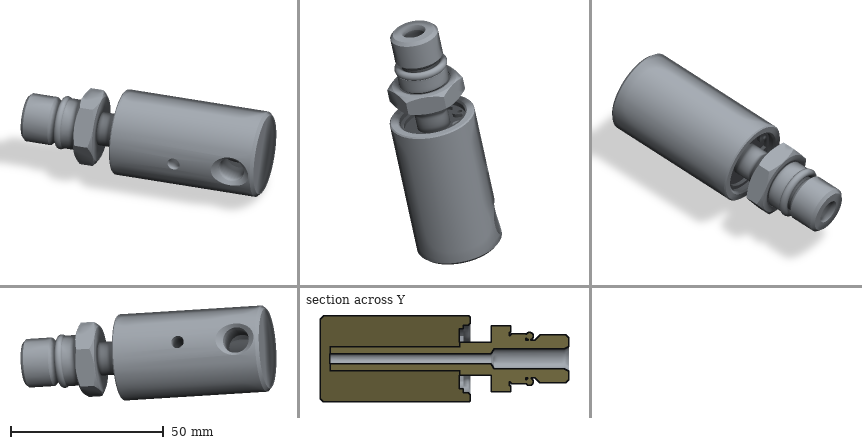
import cadquery as cq
import math

THREAD_DIA = 16.0
THREAD_TIP_CHAMFER = 1.05
THREAD_END_X = 9.45
RELIEF_DIA = 12.55
COLLAR_DIA = 16.6
COLLAR_START_X = 14.0
UNDERCUT_START_X = 18.65
UNDERCUT_END_X = 19.4
UNDERCUT_DIA = 17.4

SEAL_OUTER_DIA = 17.6
SEAL_SECTION_DIA = 2.6
SEAL_X = 12.9

HEX_SIDES = 6
HEX_ACROSS_FLATS = 21.8
HEX_START_X = 19.0
HEX_END_X = 25.5
HEX_FACE_DIA = 21.5
HEX_CHAMFER_ANGLE = 30

SHAFT_DIA = 11.0
STEM_DIA = 8.0
STEM_END_X = 78.2

BORE_DIA = 6.4
BORE_MOUTH_DIA = 8.0
BORE_MOUTH_DEPTH = 1.4
BORE_DEPTH = 24.45
PASSAGE_DIA = 3.2
DRILL_ANGLE = 118

HOUSING_DIA = 28.35
HOUSING_START_X = 32.3
HOUSING_END_X = 81.5
HOUSING_FRONT_CHAMFER = 0.4
HOUSING_REAR_CHAMFER = 1.05

RECESS_DIA = 22.1
RECESS_MOUTH_DIA = 23.3
RECESS_DEPTH = 3.5
STEP_DIA = 19.55
STEP_DEPTH = 2.3

LUG_HOLE_DIA = 1.55
LUG_HOLE_Y = -8.8
LUG_HOLE_Z = 3.8
LUG_INNER_Y = -6.35
LUG_CORNER_RADIUS = 1.6
LUG_NEAR_Z = 2.2
LUG_FAR_Z = 7.6

VENT_DIA = 4.15
VENT_X = 54.4

PORT_X = 73.6
PORT_TOP_DIA = 8.6
PORT_BOTTOM_DIA = 8.15
PORT_COUNTERSINK_DIA = 12.8
PORT_BOTTOM_Y = 3.75
PORT_POINT_ANGLE = 110

HOUSING_RADIUS = HOUSING_DIA / 2
STEP_X = HOUSING_START_X + STEP_DEPTH
RECESS_FLOOR_X = HOUSING_START_X + RECESS_DEPTH
STEP_THICKNESS = RECESS_DEPTH - STEP_DEPTH
HALF_DRILL_TAN = math.tan(math.radians(DRILL_ANGLE / 2))


def revolve_about_x(points):
    """Solid of revolution about the X axis from (x, radius) points."""
    return cq.Workplane("XY").polyline(points).close().revolve(360, (0, 0, 0), (1, 0, 0))


def revolve_about_y(points, x):
    """Solid of revolution about a line parallel to Y at x, from (radius, y) points."""
    profile = cq.Workplane("XY", origin=(x, 0, 0)).polyline(points).close()
    return profile.revolve(360, (0, 0, 0), (0, 1, 0))


def hexagon():
    """Wrench hexagon with corners along Y and both ends chamfered."""
    length = HEX_END_X - HEX_START_X
    corner_dia = HEX_ACROSS_FLATS / math.cos(math.pi / HEX_SIDES)
    prism = cq.Workplane("YZ", origin=(HEX_START_X, 0, 0)).polygon(HEX_SIDES, corner_dia).extrude(length)
    corner_radius = corner_dia / 2
    face_radius = HEX_FACE_DIA / 2
    chamfer_length = (corner_radius - face_radius) * math.tan(math.radians(HEX_CHAMFER_ANGLE))
    chamfer_envelope = revolve_about_x([
        (HEX_START_X, 0),
        (HEX_START_X, face_radius),
        (HEX_START_X + chamfer_length, corner_radius),
        (HEX_END_X - chamfer_length, corner_radius),
        (HEX_END_X, face_radius),
        (HEX_END_X, 0),
    ])
    return prism.intersect(chamfer_envelope)


def seal_ring():
    """Round-section ring seated against the collar."""
    section_radius = SEAL_SECTION_DIA / 2
    ring_radius = SEAL_OUTER_DIA / 2 - section_radius
    section = cq.Workplane("XY").center(SEAL_X, ring_radius).circle(section_radius)
    axis_offset = -ring_radius
    return section.revolve(360, (0, axis_offset, 0), (1, axis_offset, 0))


def spindle_bore():
    """Inlet bore with a flared mouth, a drill-point bottom and the fine passage."""
    bore_radius = BORE_DIA / 2
    passage_radius = PASSAGE_DIA / 2
    return revolve_about_x([
        (0, 0),
        (0, BORE_MOUTH_DIA / 2),
        (BORE_MOUTH_DEPTH, bore_radius),
        (BORE_DEPTH, bore_radius),
        (BORE_DEPTH + (bore_radius - passage_radius) / HALF_DRILL_TAN, passage_radius),
        (STEM_END_X, passage_radius),
        (STEM_END_X, 0),
    ])


def undercut():
    """Groove where the collar runs into the hexagon face."""
    collar_radius = COLLAR_DIA / 2
    groove_radius = UNDERCUT_DIA / 2
    root_radius = collar_radius - (UNDERCUT_END_X - UNDERCUT_START_X)
    return revolve_about_x([
        (UNDERCUT_START_X, collar_radius),
        (UNDERCUT_START_X, groove_radius),
        (UNDERCUT_END_X, groove_radius),
        (UNDERCUT_END_X, root_radius),
    ])


def make_spindle():
    thread_radius = THREAD_DIA / 2
    relief_radius = RELIEF_DIA / 2
    turned = revolve_about_x([
        (0, 0),
        (0, thread_radius - THREAD_TIP_CHAMFER),
        (THREAD_TIP_CHAMFER, thread_radius),
        (THREAD_END_X, thread_radius),
        (THREAD_END_X + thread_radius - relief_radius, relief_radius),
        (COLLAR_START_X, relief_radius),
        (COLLAR_START_X, COLLAR_DIA / 2),
        (HEX_START_X, COLLAR_DIA / 2),
        (HEX_START_X, SHAFT_DIA / 2),
        (RECESS_FLOOR_X, SHAFT_DIA / 2),
        (RECESS_FLOOR_X, STEM_DIA / 2),
        (STEM_END_X, STEM_DIA / 2),
        (STEM_END_X, 0),
    ])
    return turned.union(hexagon()).cut(undercut()).union(seal_ring()).cut(spindle_bore())


def housing_bore():
    """Open recess with a chamfered mouth and the blind bore for the stem."""
    mouth_radius = RECESS_MOUTH_DIA / 2
    recess_radius = RECESS_DIA / 2
    return revolve_about_x([
        (HOUSING_START_X, 0),
        (HOUSING_START_X, mouth_radius),
        (HOUSING_START_X + mouth_radius - recess_radius, recess_radius),
        (STEP_X, recess_radius),
        (STEP_X, STEP_DIA / 2),
        (RECESS_FLOOR_X, STEP_DIA / 2),
        (RECESS_FLOOR_X, STEM_DIA / 2),
        (STEM_END_X, STEM_DIA / 2),
        (STEM_END_X, 0),
    ])


def lug(side):
    """Lug reaching inward from the step; side is +1 above or -1 below the axis."""
    outer_y = -STEP_DIA / 2
    return (
        cq.Workplane("YZ", origin=(STEP_X, 0, 0))
        .moveTo(outer_y, side * LUG_FAR_Z)
        .lineTo(LUG_INNER_Y, side * LUG_FAR_Z)
        .lineTo(LUG_INNER_Y, side * (LUG_NEAR_Z + LUG_CORNER_RADIUS))
        .tangentArcPoint((LUG_INNER_Y - LUG_CORNER_RADIUS, side * LUG_NEAR_Z), relative=False)
        .lineTo(outer_y, side * LUG_NEAR_Z)
        .close()
        .extrude(STEP_THICKNESS)
    )


def lug_hole(side):
    """Plier hole through a lug, down to the recess floor."""
    plane = cq.Workplane("YZ", origin=(STEP_X, LUG_HOLE_Y, side * LUG_HOLE_Z))
    return plane.circle(LUG_HOLE_DIA / 2).extrude(STEP_THICKNESS)


def vent():
    """Small radial hole from the -Y side down to the stem."""
    return cq.Workplane("XZ", origin=(VENT_X, 0, 0)).circle(VENT_DIA / 2).extrude(HOUSING_RADIUS)


def port():
    """Tapered radial port with a 45 degree countersink and a pointed bottom."""
    top_radius = PORT_TOP_DIA / 2
    bottom_radius = PORT_BOTTOM_DIA / 2
    countersink_radius = PORT_COUNTERSINK_DIA / 2
    point_depth = bottom_radius / math.tan(math.radians(PORT_POINT_ANGLE / 2))
    countersink_depth = countersink_radius - top_radius
    return revolve_about_y([
        (0, -HOUSING_RADIUS),
        (countersink_radius, -HOUSING_RADIUS),
        (top_radius, -HOUSING_RADIUS + countersink_depth),
        (bottom_radius, -PORT_BOTTOM_Y),
        (0, -PORT_BOTTOM_Y + point_depth),
    ], PORT_X)


def make_housing():
    blank = revolve_about_x([
        (HOUSING_START_X, 0),
        (HOUSING_START_X, HOUSING_RADIUS - HOUSING_FRONT_CHAMFER),
        (HOUSING_START_X + HOUSING_FRONT_CHAMFER, HOUSING_RADIUS),
        (HOUSING_END_X - HOUSING_REAR_CHAMFER, HOUSING_RADIUS),
        (HOUSING_END_X, HOUSING_RADIUS - HOUSING_REAR_CHAMFER),
        (HOUSING_END_X, 0),
    ])
    housing_body = blank.cut(housing_bore()).cut(vent()).cut(port())
    for side in (1, -1):
        housing_body = housing_body.union(lug(side)).cut(lug_hole(side))
    return housing_body


spindle = make_spindle()
housing = make_housing()

result = cq.Compound.makeCompound([spindle.val(), housing.val()])